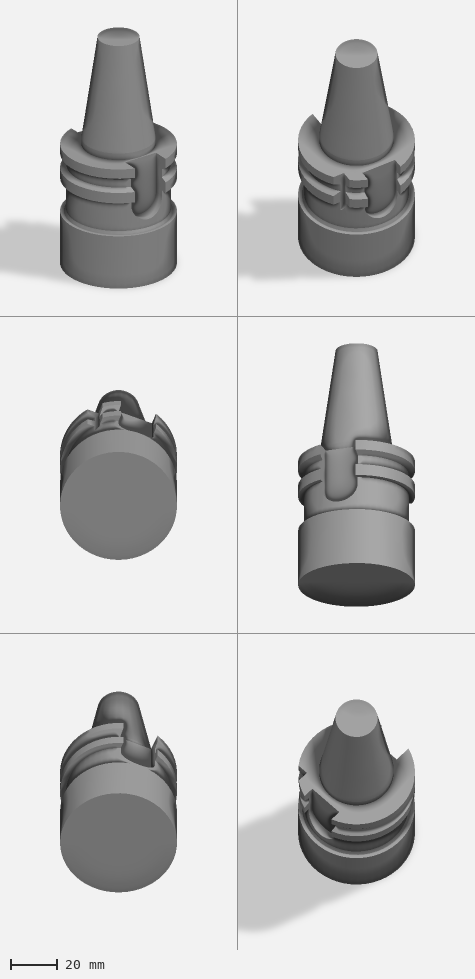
import cadquery as cq

total_height = 107.8
body_top = 24.9
collar_bottom = 26.2
flange_bottom = 40.6
groove_lower_edge = 45.6
groove_floor_bottom = 46.9
groove_floor_top = 50.8
groove_upper_edge = 52.4
flange_top = 56.8
taper_start = 59.9

outer_radius = 50.0 / 2
chamfer_radius = 23.4
neck_radius = 45.0 / 2
groove_radius = 44.6 / 2
taper_base_radius = 31.8 / 2
taper_tip_radius = 18.0 / 2

slot_width = 16.1
slot_bottom = 30.0
left_floor_distance = 18.9
right_floor_distance = 16.4

notch_offset = 15.0
notch_width = 10.3
notch_bottom = 34.5


def turned_body():
    """Revolve the half profile of the holder about Z."""
    profile = [
        (0, 0),
        (outer_radius, 0),
        (outer_radius, body_top),
        (chamfer_radius, body_top),
        (neck_radius, collar_bottom),
        (neck_radius, flange_bottom),
        (outer_radius, flange_bottom),
        (outer_radius, groove_lower_edge),
        (groove_radius, groove_floor_bottom),
        (groove_radius, groove_floor_top),
        (outer_radius, groove_upper_edge),
        (outer_radius, flange_top),
        (taper_base_radius, flange_top),
        (taper_base_radius, taper_start),
        (taper_tip_radius, total_height),
        (0, total_height),
    ]
    return cq.Workplane("XZ").polyline(profile).close().revolve(360, (0, 0, 0), (0, 1, 0))


def round_bottomed_slot(floor_x, center_y, width, bottom, side):
    """Slot cutter open at the flange top, running outward along X from its flat floor.

    side is -1 or +1 and gives the direction along X.
    """
    half_width = width / 2
    arc_center_height = bottom + half_width
    return (
        cq.Workplane("YZ", origin=(floor_x, center_y, 0))
        .moveTo(-half_width, flange_top)
        .lineTo(-half_width, arc_center_height)
        .threePointArc((0, bottom), (half_width, arc_center_height))
        .lineTo(half_width, flange_top)
        .close()
        .extrude(side * outer_radius)
    )


left_slot = round_bottomed_slot(-left_floor_distance, 0, slot_width, slot_bottom, -1)
right_slot = round_bottomed_slot(right_floor_distance, 0, slot_width, slot_bottom, 1)
corner_notch = round_bottomed_slot(
    -notch_offset, notch_offset + notch_width / 2, notch_width, notch_bottom, -1
)

result = turned_body().cut(left_slot).cut(right_slot).cut(corner_notch)